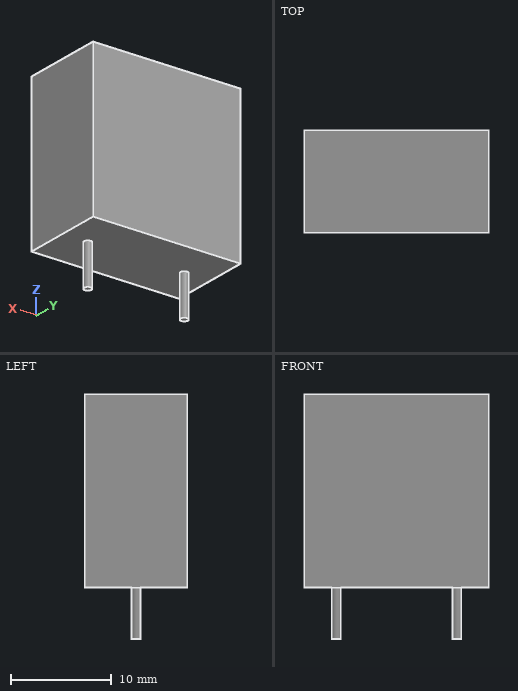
import cadquery as cq

total_height = 24.3
case_length = 18.3
case_width = 10.2

pin_length = 5.1
pin_diameter = 0.9
pin_spacing = 11.95

case_height = total_height - pin_length


def make_case():
    """Plain rectangular case standing on the plane Z = 0."""
    return cq.Workplane("XY").box(
        case_length, case_width, case_height, centered=(True, True, False)
    )


def make_pin(x):
    """Straight round pin hanging from the underside of the case."""
    return cq.Workplane("XY").center(x, 0).circle(pin_diameter / 2).extrude(-pin_length)


case = make_case()
pins = [make_pin(side * pin_spacing / 2) for side in (-1, 1)]

result = cq.Compound.makeCompound([case.val(), *[pin.val() for pin in pins]])